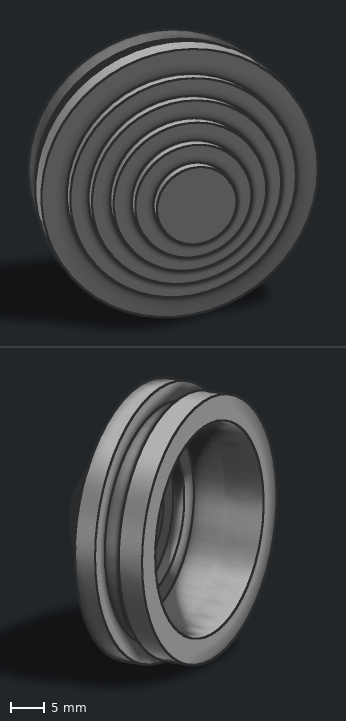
import cadquery as cq


rim_radius = 20.5
rim_length = 4.0
groove_start_radius = 19.05
groove_end_radius = 18.55
flange_start = 7.52
flange_end = 11.0
flange_radius = 21.5

step_count = 5
total_length = 20.5
step_length = (total_length - flange_end) / step_count
first_step_radius = 17.55
last_step_radius = 6.2
step_drop = (first_step_radius - last_step_radius) / (step_count - 1)

mouth_radius = 16.5
first_bore_radius = 15.8
last_bore_radius = 4.05
bore_drop = (first_bore_radius - last_bore_radius) / (step_count - 1)
mouth_taper_length = 6.2
end_wall = 1.35


def outer_points():
    """Outside profile as (x, radius), from the rim to the small end."""
    points = [
        (0, rim_radius),
        (rim_length, rim_radius),
        (rim_length, groove_start_radius),
        (flange_start, groove_end_radius),
        (flange_start, flange_radius),
        (flange_end, flange_radius),
    ]
    for step in range(step_count):
        radius = first_step_radius - step * step_drop
        start = flange_end + step * step_length
        points += [(start, radius), (start + step_length, radius)]
    return points


def cavity_points():
    """Inside profile as (x, radius), from the mouth to the closed end."""
    points = [(0, mouth_radius), (mouth_taper_length, first_bore_radius)]
    for step in range(step_count):
        radius = first_bore_radius - step * bore_drop
        end = flange_end + (step + 1) * step_length - end_wall
        if step > 0:
            points.append((end - step_length, radius))
        points.append((end, radius))
    return points


def revolved(points):
    """Solid of revolution about X under a profile of (x, radius) points."""
    profile = [(points[0][0], 0)] + points + [(points[-1][0], 0)]
    return cq.Workplane("XY").polyline(profile).close().revolve(360, (0, 0, 0), (1, 0, 0))


result = revolved(outer_points()).cut(revolved(cavity_points()))